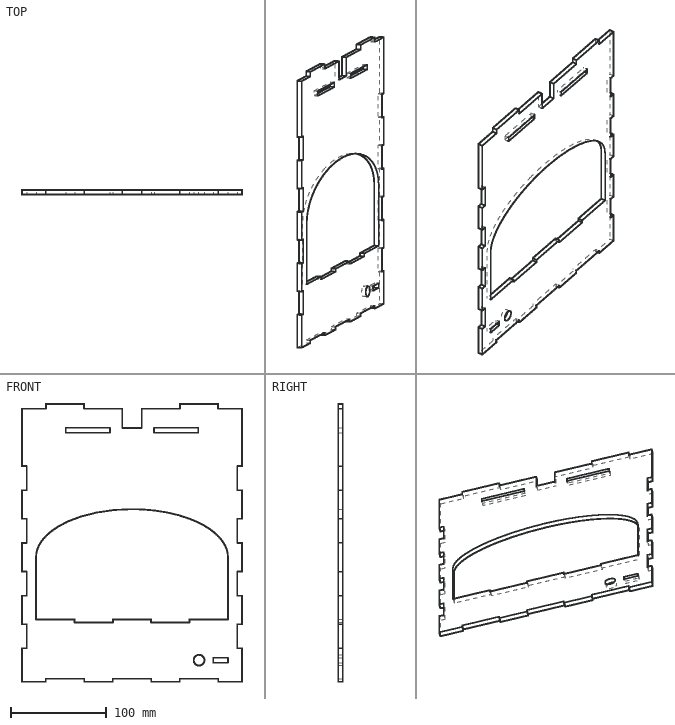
import cadquery as cq

panel_width = 230.0
panel_height = 290.0
thickness = 5.0
center_x = panel_width / 2

finger_width = 40.0
top_tab_height = thickness
shallow_notch_depth = 3.0
body_height = panel_height - top_tab_height
outer_finger_offset = 70.0
outer_finger_centers = [center_x - outer_finger_offset, center_x + outer_finger_offset]

side_notch_height = 25.0
side_notch_depth = thickness
side_notch_count = 4
side_notch_pitch = 55.0
first_side_notch_bottom = 35.0

top_notch_width = 20.0
top_notch_depth = 20.0
top_notch_bottom = body_height - top_notch_depth

slot_length = panel_width / 5
slot_height = thickness
slot_offset = slot_length

window_half_width = 100.0
window_bottom = 65.0
arch_spring = 130.0
arch_rise = 50.0
sill_notch_offset = 40.0

corner_center_z = 22.5
hole_diameter = 11.0
hole_x = 185.0
small_slot_length = 15.0
small_slot_left = 200.0


def block(x_min, z_min, width, height):
    """Rectangular block through the full panel thickness."""
    return cq.Workplane("XY").box(width, thickness, height, centered=False).translate((x_min, 0, z_min))


def centered_block(x_center, z_min, width, height):
    """Full-thickness block placed by its centre in X and its lower edge in Z."""
    return block(x_center - width / 2, z_min, width, height)


def body_with_top_tabs():
    body = block(0, 0, panel_width, body_height)
    for x in outer_finger_centers:
        body = body.union(centered_block(x, body_height, finger_width, top_tab_height))
    return body


def cut_side_notches(body):
    for index in range(side_notch_count):
        z = first_side_notch_bottom + index * side_notch_pitch
        for x in (0, panel_width - side_notch_depth):
            body = body.cut(block(x, z, side_notch_depth, side_notch_height))
    return body


def cut_bottom_notches(body):
    for x in outer_finger_centers + [center_x]:
        body = body.cut(centered_block(x, 0, finger_width, shallow_notch_depth))
    return body


def cut_top_notch_and_slots(body):
    body = body.cut(centered_block(center_x, top_notch_bottom, top_notch_width, top_notch_depth))
    for x in (center_x - slot_offset, center_x + slot_offset):
        body = body.cut(centered_block(x, top_notch_bottom - slot_height, slot_length, slot_height))
    return body


def cut_window(body):
    straight_height = arch_spring - window_bottom
    ellipse = (
        cq.Workplane("XZ", origin=(center_x, 0, arch_spring))
        .ellipse(window_half_width, arch_rise)
        .extrude(-thickness)
    )
    arch = ellipse.intersect(centered_block(center_x, arch_spring, 2 * window_half_width, arch_rise))
    opening = centered_block(center_x, window_bottom, 2 * window_half_width, straight_height)
    body = body.cut(arch).cut(opening)
    sill_notch_bottom = window_bottom - shallow_notch_depth
    for x in (center_x - sill_notch_offset, center_x + sill_notch_offset):
        body = body.cut(centered_block(x, sill_notch_bottom, finger_width, shallow_notch_depth))
    return body


def cut_corner_openings(body):
    hole = (
        cq.Workplane("XZ", origin=(hole_x, 0, corner_center_z))
        .circle(hole_diameter / 2)
        .extrude(-thickness)
    )
    small_slot = block(small_slot_left, corner_center_z - slot_height / 2, small_slot_length, slot_height)
    return body.cut(hole).cut(small_slot)


panel = body_with_top_tabs()
panel = cut_side_notches(panel)
panel = cut_bottom_notches(panel)
panel = cut_top_notch_and_slots(panel)
panel = cut_window(panel)
result = cut_corner_openings(panel)